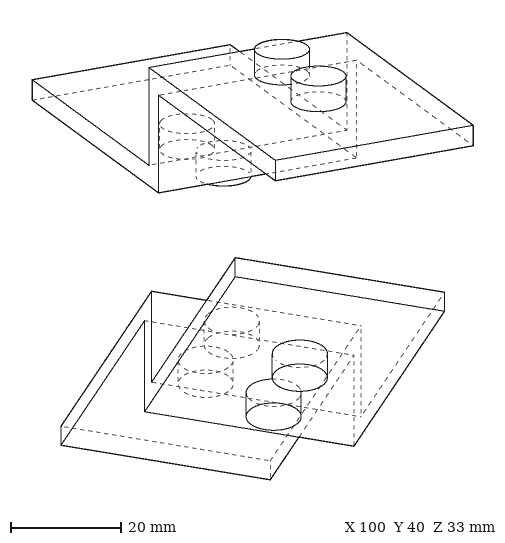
import cadquery as cq

length = 100.0
width = 40.0
body_height = 23.0
thickness = 4.0
web_left = (length - thickness) / 2
web_right = web_left + thickness

peg_diameter = 10.0
peg_height = 5.0
peg_spacing = 15.0
peg_end_distance = 23.0
peg_distances = [peg_end_distance, peg_end_distance + peg_spacing]


def make_bracket():
    """Stepped strip with its lower plate on Z = 0, centred across Y."""
    profile = [
        (0, 0),
        (web_right, 0),
        (web_right, body_height - thickness),
        (length, body_height - thickness),
        (length, body_height),
        (web_left, body_height),
        (web_left, thickness),
        (0, thickness),
    ]
    return cq.Workplane("XZ").polyline(profile).close().extrude(width / 2, both=True)


def make_pegs(x_positions, base_z):
    """Row of upright cylinders along the X centre line."""
    centers = [(x, 0) for x in x_positions]
    plane = cq.Workplane("XY").workplane(offset=base_z)
    return plane.pushPoints(centers).circle(peg_diameter / 2).extrude(peg_height)


lower_pegs = make_pegs(peg_distances, -peg_height)
upper_pegs = make_pegs([length - distance for distance in peg_distances], body_height)

result = make_bracket().union(lower_pegs).union(upper_pegs)